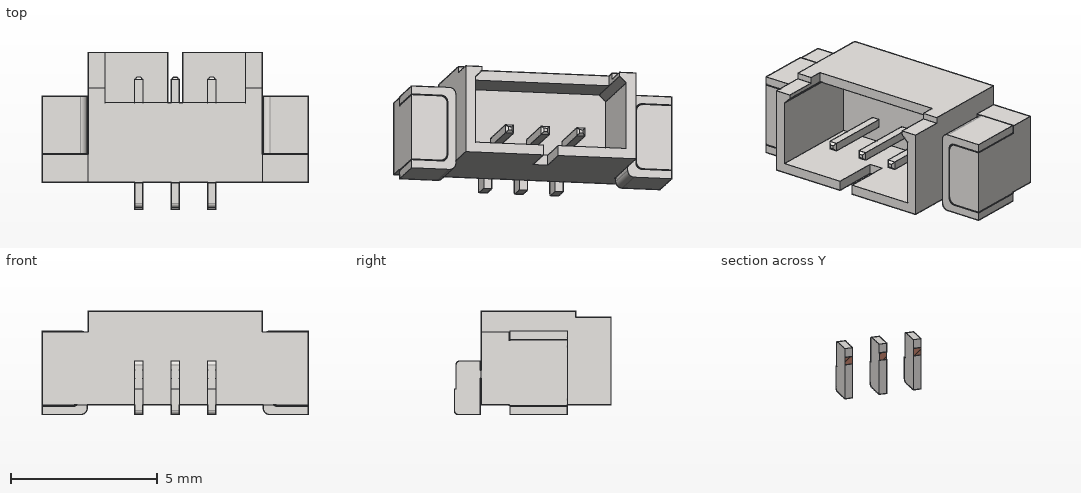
import cadquery as cq


TOTAL_WIDTH = 9.08
TOTAL_HEIGHT = 3.53
TOTAL_DEPTH = 5.35
CONTACT_REACH = 0.92
STANDOFF = 0.34
CLEARANCE = 0.03

BODY_WIDTH = 5.94
BODY_DEPTH = TOTAL_DEPTH - CONTACT_REACH
WALL = 0.345
REAR_WALL = 1.09
CAVITY_WIDTH = BODY_WIDTH - 2 * WALL
CAVITY_FLOOR_Z = STANDOFF + WALL
CAVITY_ROOF_Z = TOTAL_HEIGHT - WALL
CORNER_CHAMFER = 0.23
ROOF_DEPTH = 2.72
ROOF_OPENING_WIDTH = CAVITY_WIDTH - 2 * CORNER_CHAMFER
SIDE_STEP_Y = 3.22
SIDE_STEP_DROP = 0.21
FLOOR_SLOT_WIDTH = 0.51

CLIP_THICKNESS = 0.28
CLIP_HEIGHT = 2.85
CLIP_BEND_RADIUS = 0.23
CLIP_REAR_Y = 0.98
CLIP_INNER_X = BODY_WIDTH / 2 + CLEARANCE

WING_OUTER_X = TOTAL_WIDTH / 2
WING_FRONT_Y = 2.94
WING_TOP_Z = CLIP_HEIGHT - CLEARANCE
WING_STEP_Y = CLIP_REAR_Y - CLEARANCE

CONTACT_PITCH = 1.24
CONTACT_COUNT = 3
CONTACT_SIZE = 0.28
CONTACT_Z = 1.38
CONTACT_TIP_Y = 3.59
TIP_CHAMFER = 0.08
BLADE_GAP = 0.03
BLADE_HEIGHT = 1.83
BLADE_STEP_Z = 0.88
BLADE_STEP = 0.05
BLADE_RADIUS = 0.14


def box(x0, x1, y0, y1, z0, z1):
    """Box between two opposite corners."""
    return cq.Workplane("XY").box(x1 - x0, y1 - y0, z1 - z0, centered=False).translate((x0, y0, z0))


def centred_box(width, y0, y1, z0, z1):
    """Box symmetric about the YZ plane."""
    return box(-width / 2, width / 2, y0, y1, z0, z1)


def mirror_x(body):
    return body.mirror("YZ")


def rounded_block(inner_x, rear_y, bottom_z, top_z):
    """Block reaching the wing's outer and front faces, with its two inner X edges rounded."""
    block = box(inner_x, WING_OUTER_X, rear_y, WING_FRONT_Y, bottom_z, top_z)
    return block.edges("<X and |Y").fillet(CLIP_BEND_RADIUS)


def make_wing():
    """Right wing: a full-height rear block, and a core that the clip wraps around."""
    rear_block = box(BODY_WIDTH / 2, WING_OUTER_X, 0, WING_STEP_Y, STANDOFF, WING_TOP_Z)
    inset = CLIP_THICKNESS + CLEARANCE
    core = rounded_block(CLIP_INNER_X + inset, WING_STEP_Y, inset, CLIP_HEIGHT - inset)
    return rear_block.union(core)


def make_cavity():
    """Mating cavity, open at the front."""
    cavity = centred_box(CAVITY_WIDTH, REAR_WALL, BODY_DEPTH, CAVITY_FLOOR_Z, CAVITY_ROOF_Z)
    return cavity.edges("|Y and >Z").chamfer(CORNER_CHAMFER)


def make_contact():
    """Square contact bar with a tapered tip and a solder blade behind the housing."""
    half = CONTACT_SIZE / 2
    bar = centred_box(CONTACT_SIZE, -BLADE_GAP, CONTACT_TIP_Y, CONTACT_Z - half, CONTACT_Z + half)
    bar = bar.faces(">Y").chamfer(TIP_CHAMFER)

    upper = centred_box(CONTACT_SIZE, BLADE_STEP - CONTACT_REACH, -BLADE_GAP, BLADE_STEP_Z, BLADE_HEIGHT)
    upper = upper.edges("<Y and >Z").fillet(BLADE_RADIUS)
    lower = centred_box(CONTACT_SIZE, -CONTACT_REACH, -BLADE_GAP, 0, BLADE_STEP_Z)
    lower = lower.edges("<Y and <Z").fillet(BLADE_RADIUS)
    return bar.union(upper).union(lower)


def make_housing():
    """Housing with its wings and the contacts moulded into it."""
    housing = centred_box(BODY_WIDTH, 0, BODY_DEPTH, STANDOFF, TOTAL_HEIGHT)
    housing = housing.cut(make_cavity())

    roof_opening = centred_box(ROOF_OPENING_WIDTH, ROOF_DEPTH, BODY_DEPTH, CAVITY_ROOF_Z, TOTAL_HEIGHT)
    side_step_z = TOTAL_HEIGHT - SIDE_STEP_DROP
    side_step = centred_box(BODY_WIDTH, SIDE_STEP_Y, BODY_DEPTH, side_step_z, TOTAL_HEIGHT)
    floor_slot = centred_box(FLOOR_SLOT_WIDTH, ROOF_DEPTH, BODY_DEPTH, STANDOFF, CAVITY_FLOOR_Z)
    housing = housing.cut(roof_opening).cut(side_step).cut(floor_slot)

    wing = make_wing()
    housing = housing.union(wing).union(mirror_x(wing))

    contact = make_contact()
    for index in range(CONTACT_COUNT):
        contact_x = (index - (CONTACT_COUNT - 1) / 2) * CONTACT_PITCH
        housing = housing.union(contact.translate((contact_x, 0, 0)))
    return housing


def make_clip():
    """Right clip: top strip, inner web and solder foot of one bent sheet."""
    outside = rounded_block(CLIP_INNER_X, CLIP_REAR_Y, 0, CLIP_HEIGHT)
    inside = rounded_block(
        CLIP_INNER_X + CLIP_THICKNESS, CLIP_REAR_Y, CLIP_THICKNESS, CLIP_HEIGHT - CLIP_THICKNESS
    )
    return outside.cut(inside)


housing = make_housing()
right_clip = make_clip()
clips = [right_clip, mirror_x(right_clip)]

result = cq.Compound.makeCompound([housing.solids().val(), *[clip.solids().val() for clip in clips]])